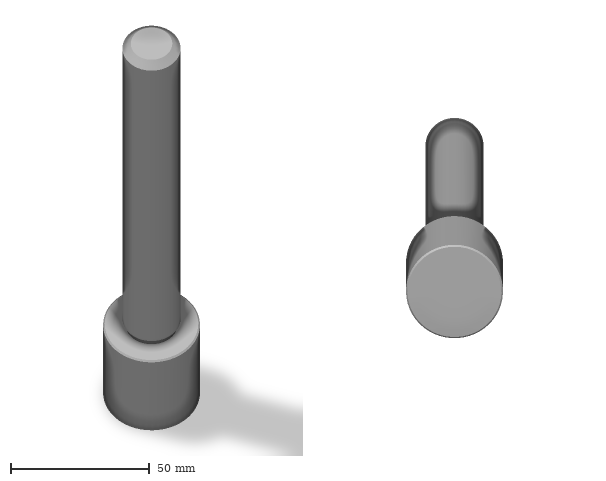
import cadquery as cq

total_length = 200.0

head_diameter = 35.0
head_height = 40.0
head_chamfer = 0.5

neck_diameter = 19.0
neck_height = 3.0

shank_diameter = 21.0
tip_diameter = 15.0
tip_height = 2.5

shank_start = head_height + neck_height
tip_start = total_length - tip_height


def make_head():
    """Cylindrical head with both rims chamfered."""
    head = cq.Workplane("XY").circle(head_diameter / 2).extrude(head_height)
    return head.faces("<Z or >Z").edges().chamfer(head_chamfer)


def make_stem():
    """Neck, shank and tapered tip, revolved about Z."""
    neck_radius = neck_diameter / 2
    shank_radius = shank_diameter / 2
    profile = (
        cq.Workplane("XZ")
        .moveTo(0, head_height)
        .lineTo(neck_radius, head_height)
        .lineTo(neck_radius, shank_start)
        .lineTo(shank_radius, shank_start)
        .lineTo(shank_radius, tip_start)
        .lineTo(tip_diameter / 2, total_length)
        .lineTo(0, total_length)
        .close()
    )
    return profile.revolve(360, (0, 0, 0), (0, 1, 0))


result = make_head().union(make_stem())